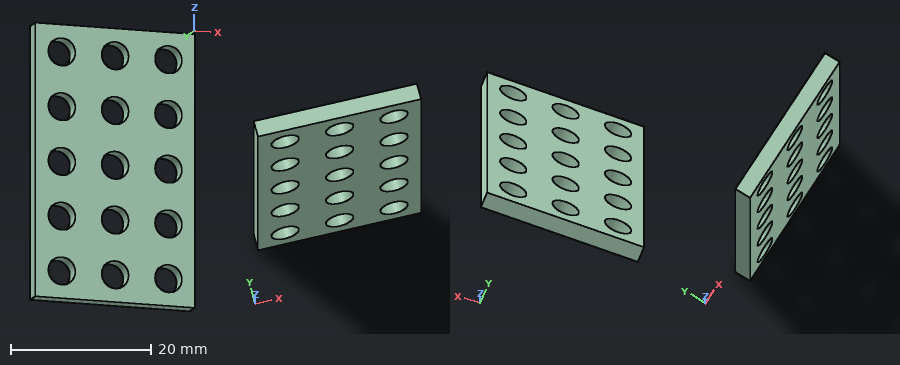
import cadquery as cq

hole_pitch = 8.0
columns = 3
rows = 5
thickness = 2.5
hole_diameter = 4.0

width = columns * hole_pitch
height = rows * hole_pitch


def make_plate():
    """Upright plate in the XZ plane, centred on the origin."""
    return cq.Workplane("XY").box(width, thickness, height)


def drill_hole_grid(plate):
    """Cut the regular grid of through holes along Y."""
    return (
        plate.faces("<Y")
        .workplane(centerOption="CenterOfBoundBox")
        .rarray(hole_pitch, hole_pitch, columns, rows)
        .hole(hole_diameter)
    )


result = drill_hole_grid(make_plate())